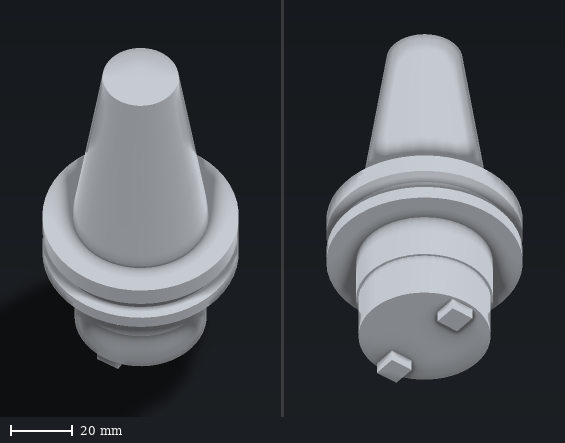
import cadquery as cq

total_height = 123.0
lug_height = 4.0
nose_top = 19.9
flange_bottom = 35.8
groove_lower_edge = 40.4
groove_floor_bottom = 41.8
groove_floor_top = 45.4
groove_upper_edge = 47.2
flange_top = 53.9
taper_bottom = 54.6

nose_diameter = 42.7
body_diameter = 44.3
flange_diameter = 63.5
groove_diameter = 56.8
taper_small_diameter = 24.6

lug_width = 8.0
lug_spacing = 32.0


def turned_body():
    """Nose, body, V-grooved flange and taper as one revolved half profile."""
    nose_radius = nose_diameter / 2
    body_radius = body_diameter / 2
    flange_radius = flange_diameter / 2
    groove_radius = groove_diameter / 2
    half_profile = [
        (0, lug_height),
        (nose_radius, lug_height),
        (nose_radius, nose_top),
        (body_radius, nose_top),
        (body_radius, flange_bottom),
        (flange_radius, flange_bottom),
        (flange_radius, groove_lower_edge),
        (groove_radius, groove_floor_bottom),
        (groove_radius, groove_floor_top),
        (flange_radius, groove_upper_edge),
        (flange_radius, flange_top),
        (body_radius, flange_top),
        (body_radius, taper_bottom),
        (taper_small_diameter / 2, total_height),
        (0, total_height),
    ]
    return cq.Workplane("XZ").polyline(half_profile).close().revolve(360, (0, 0), (0, 1))


def drive_lugs():
    """Two square lugs, one on each side of the axis along Y."""
    return (
        cq.Workplane("XY")
        .pushPoints([(0, -lug_spacing / 2), (0, lug_spacing / 2)])
        .rect(lug_width, lug_width)
        .extrude(lug_height)
    )


result = turned_body().union(drive_lugs())